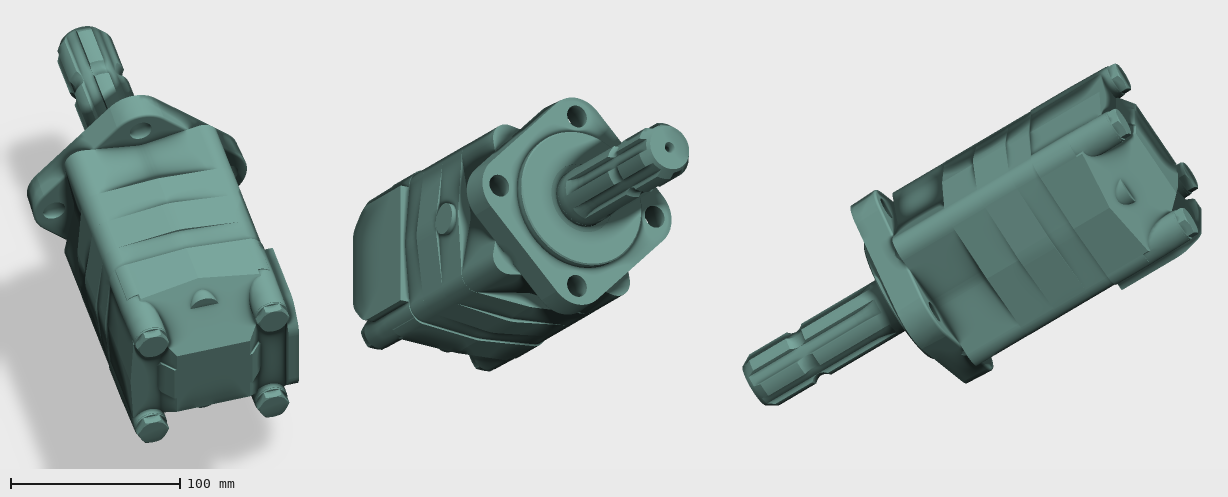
import cadquery as cq
import math


shaft_front = -108.0
seal_land_front = -8.0
pilot_front = -6.0
flange_widest = 16.5
flange_rear = 18.0
waist_rear = 54.4
housing_rear = 77.2
gear_set_rear = 99.4
plate_rear = 115.0
slope_start = 140.2
cover_side_rear = 163.6
boss_rear = 167.0
cover_rear = 172.7

shaft_radius = 34.85 / 2
seal_land_radius = 35.0 / 2
shaft_rear = 50.0
nose_length = 7.0
nose_drop = nose_length * math.tan(math.radians(30))
ring_groove_x = shaft_front + 38.0
ring_groove_radius = 6.8
ring_groove_floor = 29.7 / 2
spline_count = 6
spline_root_radius = 29.5 / 2
spline_tooth_width = 8.7
spline_full_end = -32.5
spline_runout_end = -16.5
centre_drill_diameter = 3.16
centre_drill_mouth = 6.7
centre_drill_depth = 7.0

flange_corner_reach = 131.3 / 2
flange_corner_radius = 20.5
flange_draft = 3.0
flange_rear_round = 1.4
flange_hole_offset = 53.2
flange_hole_diameter = 13.5
pilot_diameter = 82.5
pilot_chamfer = 0.8
seal_recess_diameter = 42.0
seal_recess_depth = 0.5

bolt_offset = 37.0
waist_corner_radius = 9.9
body_corner_radius = 10.0
waist_apex = 40.6
waist_valley_round = 17.0
rear_housing_apex = 49.5
gear_set_apex = 51.7
plate_apex = 50.3
gear_set_crown_round = 36.0
plate_crown_round = 52.0

cover_crown_z = 51.6
cover_crown_y = 48.4
cover_top_facet_end = (36.5, 48.3)
cover_shoulder_middle = (40.4, 47.6)
cover_shoulder_end = (43.7, 45.4)
cover_side_facet_end = (46.4, bolt_offset)
cover_corner_radius = 21.0 / 2
boss_end_radius = 20.0 / 2
cover_end_half = 24.0
slope_bump_diameter = 18.0
slope_bump_top = 47.0
slope_bump_rear = 153.2
end_step_depth = 1.6
end_rib_half_base = 12.2
end_rib_half_top = 9.2

pad_face_y = 53.1
pad_base_y = 46.6
pad_half_height = 36.0
pad_corner_radius = 12.5
pad_rounding_start = 153.2
pad_bevel_end = 167.2

bolt_diameter = 10.0
bolt_clearance_diameter = 10.5
bolt_thread_end = 30.0
bolt_tip_diameter = 8.38
tap_drill_bottom = 15.8
drill_point_angle = 118.0
washer_radius = 9.8
washer_rear = 168.1
bolt_head_rear = 173.2
bolt_head_flats = 16.9
bolt_head_chamfer = 0.8

plug_x = 65.9
plug_head_diameter = 18.63
plug_seat_y = 48.6
plug_top_y = 52.4
plug_stem_diameter = 10.2
plug_stem_end_y = 36.0


def cylinder_x(radius, start, end, y=0.0, z=0.0):
    """Round bar along X."""
    return cq.Workplane("YZ", origin=(start, y, z)).circle(radius).extrude(end - start)


def cone_x(radius_start, radius_end, start, end, y=0.0, z=0.0):
    """Cone frustum along X; either end may come to a point."""
    solid = cq.Solid.makeCone(
        radius_start, radius_end, end - start, cq.Vector(start, y, z), cq.Vector(1, 0, 0)
    )
    return cq.Workplane(obj=solid)


def bolt_places():
    return [(y, z) for y in (-bolt_offset, bolt_offset) for z in (-bolt_offset, bolt_offset)]


def turn(point, quarter_turns):
    """Turn a (y, z) point about X by a number of right angles."""
    y, z = point
    for _ in range(quarter_turns):
        y, z = -z, y
    return (y, z)


def crowned_prism(start, end, apex, apex_round, corner_radius):
    """Square prism with round corners whose sides rise (or sink) from the corners to `apex`."""
    reach = math.hypot(bolt_offset, bolt_offset - apex)
    slope = math.atan2(bolt_offset - apex, bolt_offset) + math.asin(corner_radius / reach)
    left_tangent = (
        -bolt_offset + corner_radius * math.sin(slope),
        bolt_offset + corner_radius * math.cos(slope),
    )
    corner_middle = bolt_offset + corner_radius / math.sqrt(2)
    right_tangent = (-left_tangent[0], left_tangent[1])
    outline = cq.Workplane("YZ", origin=(start, 0, 0)).moveTo(*right_tangent)
    for side in range(4):
        outline = outline.lineTo(*turn((0, apex), side))
        outline = outline.lineTo(*turn(left_tangent, side))
        outline = outline.threePointArc(
            turn((-corner_middle, corner_middle), side), turn(right_tangent, side + 1)
        )
    prism = outline.close().extrude(end - start)
    if apex_round:
        middle = (start + end) / 2
        for side in range(4):
            y, z = turn((0, apex), side)
            prism = prism.edges(cq.selectors.NearestToPointSelector((middle, y, z))).fillet(apex_round)
    return prism


def bolt_holes(start, end, diameter):
    holes = cq.Workplane("YZ", origin=(start, 0, 0)).pushPoints(bolt_places())
    return holes.circle(diameter / 2).extrude(end - start)


def spline_groove():
    """Gap between two teeth on the -Y side, with parallel tooth flanks and an arc run-out."""
    half_pitch = math.pi / spline_count
    outer = shaft_radius + 2.0

    def flank_point(radius, sign):
        angle = half_pitch - math.asin(spline_tooth_width / 2 / radius)
        return (-radius * math.cos(angle), sign * radius * math.sin(angle))

    gap = (
        cq.Workplane("YZ", origin=(shaft_front - 1, 0, 0))
        .moveTo(*flank_point(spline_root_radius - 1, 1))
        .lineTo(*flank_point(outer, 1))
        .lineTo(*flank_point(outer, -1))
        .lineTo(*flank_point(spline_root_radius - 1, -1))
        .close()
        .extrude(spline_runout_end - shaft_front + 1)
    )
    rise = shaft_radius - spline_root_radius
    run = spline_runout_end - spline_full_end
    runout_radius = (run**2 + rise**2) / (2 * rise)
    half_angle = math.asin(run / runout_radius) / 2
    arc_middle = (
        spline_full_end + runout_radius * math.sin(half_angle),
        spline_root_radius + runout_radius * (1 - math.cos(half_angle)),
    )
    root_core = (
        cq.Workplane("XY")
        .moveTo(shaft_front - 1, 0)
        .lineTo(shaft_front - 1, spline_root_radius)
        .lineTo(spline_full_end, spline_root_radius)
        .threePointArc(arc_middle, (spline_runout_end, shaft_radius))
        .lineTo(spline_runout_end, 0)
        .close()
        .revolve(360, (0, 0, 0), (1, 0, 0))
    )
    return gap.cut(root_core)


def make_shaft():
    half_chord = math.sqrt(
        ring_groove_radius**2 - (ring_groove_radius - shaft_radius + ring_groove_floor) ** 2
    )
    shaft = (
        cq.Workplane("XY")
        .moveTo(shaft_front, 0)
        .lineTo(shaft_front, shaft_radius - nose_drop)
        .lineTo(shaft_front + nose_length, shaft_radius)
        .lineTo(ring_groove_x - half_chord, shaft_radius)
        .threePointArc((ring_groove_x, ring_groove_floor), (ring_groove_x + half_chord, shaft_radius))
        .lineTo(seal_land_front, shaft_radius)
        .lineTo(seal_land_front, seal_land_radius)
        .lineTo(shaft_rear, seal_land_radius)
        .lineTo(shaft_rear, 0)
        .close()
        .revolve(360, (0, 0, 0), (1, 0, 0))
    )
    groove = spline_groove()
    for index in range(spline_count):
        angle = index * 360 / spline_count
        shaft = shaft.cut(groove.rotate((0, 0, 0), (1, 0, 0), angle))
    mouth_depth = (centre_drill_mouth - centre_drill_diameter) / 2 / math.tan(math.radians(30))
    mouth = cone_x(centre_drill_mouth / 2, centre_drill_diameter / 2, shaft_front, shaft_front + mouth_depth)
    drill = cylinder_x(centre_drill_diameter / 2, shaft_front, shaft_front + centre_drill_depth)
    return shaft.cut(mouth).cut(drill)


def make_flange():
    """Diamond flange, drafted so that it widens towards the rear, with a rounded rear edge."""
    corner_centre = flange_corner_reach - flange_corner_radius
    side = corner_centre * math.sqrt(2) + 2 * flange_corner_radius
    drafted = (
        cq.Workplane("YZ", origin=(flange_widest, 0, 0))
        .transformed(rotate=(0, 0, 45))
        .sketch()
        .rect(side, side)
        .vertices()
        .fillet(flange_corner_radius)
        .finalize()
        .extrude(-flange_widest, taper=flange_draft)
    )
    rim = (
        cq.Workplane("YZ", origin=(flange_widest, 0, 0))
        .transformed(rotate=(0, 0, 45))
        .rect(side, side)
        .extrude(flange_rear - flange_widest)
        .edges("|X")
        .fillet(flange_corner_radius)
        .faces(">X")
        .edges()
        .fillet(flange_rear_round)
    )
    hole_places = [turn((flange_hole_offset, 0), quarter) for quarter in range(4)]
    holes = (
        cq.Workplane("YZ").pushPoints(hole_places).circle(flange_hole_diameter / 2).extrude(flange_rear)
    )
    return drafted.union(rim).cut(holes)


def tap_drill(y, z):
    """Blind tapping hole for the bolt tip; it runs forward into the flange and ends in a drill point."""
    radius = bolt_tip_diameter / 2
    point_length = radius / math.tan(math.radians(drill_point_angle / 2))
    bore = cylinder_x(radius, tap_drill_bottom, bolt_thread_end, y, z)
    return bore.union(cone_x(0, radius, tap_drill_bottom - point_length, tap_drill_bottom, y, z))


def make_housing():
    pilot = cylinder_x(pilot_diameter / 2, pilot_front, 0).faces("<X").chamfer(pilot_chamfer)
    housing = (
        make_flange()
        .union(pilot)
        .union(crowned_prism(flange_rear, waist_rear, waist_apex, waist_valley_round, waist_corner_radius))
        .union(crowned_prism(waist_rear, housing_rear, rear_housing_apex, 0, body_corner_radius))
    )
    housing = housing.cut(cylinder_x(seal_recess_diameter / 2, pilot_front, pilot_front + seal_recess_depth))
    housing = housing.cut(cylinder_x(seal_land_radius, pilot_front, shaft_rear))
    housing = housing.cut(bolt_holes(bolt_thread_end, housing_rear, bolt_diameter))
    for y, z in bolt_places():
        housing = housing.cut(tap_drill(y, z))
    return housing.cut(make_drain_plug())


def make_drain_plug():
    seat = cq.Workplane("XZ", origin=(plug_x, plug_seat_y, 0))
    head = seat.circle(plug_head_diameter / 2).extrude(plug_seat_y - plug_top_y)
    stem = seat.circle(plug_stem_diameter / 2).extrude(plug_seat_y - plug_stem_end_y)
    return head.union(stem)


def make_gear_set():
    body = crowned_prism(housing_rear, gear_set_rear, gear_set_apex, gear_set_crown_round, body_corner_radius)
    return body.cut(bolt_holes(housing_rear, gear_set_rear, bolt_clearance_diameter))


def make_channel_plate():
    body = crowned_prism(gear_set_rear, plate_rear, plate_apex, plate_crown_round, body_corner_radius)
    return body.cut(bolt_holes(gear_set_rear, plate_rear, bolt_clearance_diameter))


def cover_section(start, end, shouldered):
    """Crowned block between the corners; with shoulders its top facets round off over the bosses."""
    quarter = (
        cq.Workplane("YZ", origin=(start, 0, 0))
        .lineTo(cover_crown_y, 0)
        .lineTo(*cover_side_facet_end)
    )
    if shouldered:
        quarter = quarter.lineTo(*cover_shoulder_end)
        quarter = quarter.threePointArc(cover_shoulder_middle, cover_top_facet_end)
    else:
        quarter = quarter.lineTo(*cover_top_facet_end)
    quarter = quarter.lineTo(0, cover_crown_z).close().extrude(end - start)
    upper_half = quarter.union(quarter.mirror("XZ"))
    return upper_half.union(upper_half.mirror("XY"))


def cover_core():
    """Block between the corners; its top and bottom slope down to the rear end."""
    front = cover_section(plate_rear, slope_start, True)
    rear = cover_section(slope_start, cover_side_rear, False)
    return front.union(rear).union(cover_end()).intersect(side_profile())


def side_profile():
    """Outline of the core across X and Z: straight, then tapered to the rear end."""
    reach = cover_crown_z
    upper = [(plate_rear, reach), (slope_start, reach), (cover_rear, cover_end_half)]
    lower = [(x, -z) for x, z in reversed(upper)]
    depth = 2 * cover_crown_y
    return cq.Workplane("XZ").polyline(upper + lower).close().extrude(depth, both=True)


def end_profile(inset):
    """Tail of the core across X and Y, tapered like the top, set in by `inset` at the sides."""
    taper = (cover_crown_z - cover_end_half) / (cover_rear - slope_start)
    rear_half = cover_end_half - inset
    front_half = rear_half + taper * (cover_rear - cover_side_rear)
    points = [
        (cover_side_rear, front_half),
        (cover_rear, rear_half),
        (cover_rear, -rear_half),
        (cover_side_rear, -front_half),
    ]
    return cq.Workplane("XY").polyline(points).close().extrude(cover_crown_z, both=True)


def cover_end():
    """Tail behind the side faces, with a bevelled rib across the middle of each side."""
    rib_reach = end_profile(0).val().BoundingBox().ymax
    rib_root = cover_end_half - end_step_depth
    half = [
        (rib_root, end_rib_half_base),
        (rib_reach - end_step_depth, end_rib_half_base),
        (rib_reach, end_rib_half_top),
    ]
    right = half + [(y, -z) for y, z in reversed(half)]
    left = [(-y, -z) for y, z in right]
    ribs = (
        cq.Workplane("YZ", origin=(cover_side_rear, 0, 0))
        .polyline(right + left)
        .close()
        .extrude(cover_rear - cover_side_rear)
    )
    return end_profile(end_step_depth).union(ribs.intersect(end_profile(0)))


def port_pad():
    """Flat pad for the ports, with two rounded and bevelled rear corners."""
    bevel_angle = math.radians(45)
    arc_run = pad_corner_radius * math.sin(bevel_angle)
    arc_drop = pad_corner_radius * (1 - math.cos(bevel_angle))
    middle_run = pad_corner_radius * math.sin(bevel_angle / 2)
    middle_drop = pad_corner_radius * (1 - math.cos(bevel_angle / 2))
    first_middle = (pad_rounding_start + middle_run, pad_half_height - middle_drop)
    first_end = (pad_rounding_start + arc_run, pad_half_height - arc_drop)
    bevel_end_z = first_end[1] - (pad_bevel_end - first_end[0])
    pad_rear = pad_bevel_end + arc_drop
    flat_end_z = bevel_end_z - arc_run
    second_middle = (pad_rear - middle_drop, flat_end_z + middle_run)
    upper_half = (
        cq.Workplane("XZ", origin=(0, pad_base_y, 0))
        .moveTo(plate_rear, 0)
        .lineTo(plate_rear, pad_half_height)
        .lineTo(pad_rounding_start, pad_half_height)
        .threePointArc(first_middle, first_end)
        .lineTo(pad_bevel_end, bevel_end_z)
        .threePointArc(second_middle, (pad_rear, flat_end_z))
        .lineTo(pad_rear, 0)
        .close()
        .extrude(pad_base_y - pad_face_y)
    )
    return upper_half.union(upper_half.mirror("XY"))


def make_cover():
    cover = cover_core().union(port_pad())
    for y, z in bolt_places():
        cover = cover.union(cylinder_x(cover_corner_radius, plate_rear, slope_start, y, z))
        boss = cone_x(cover_corner_radius, boss_end_radius, slope_start, boss_rear, y, z)
        cover = cover.union(boss)
    bump_radius = slope_bump_diameter / 2
    for side in (-1, 1):
        bump_z = side * (slope_bump_top - bump_radius)
        cover = cover.union(cylinder_x(bump_radius, slope_start, slope_bump_rear, 0, bump_z))
    return cover.cut(bolt_holes(plate_rear, boss_rear, bolt_clearance_diameter))


def make_bolt(y, z):
    """Hexagon bolt with a washer face; the corners of the head point along Y."""
    shank = cylinder_x(bolt_diameter / 2, bolt_thread_end, boss_rear, y, z)
    tip = cylinder_x(bolt_tip_diameter / 2, flange_rear, bolt_thread_end, y, z)
    washer = cylinder_x(washer_radius, boss_rear, washer_rear, y, z)
    head_corners = bolt_head_flats / math.cos(math.radians(30))
    head_length = bolt_head_rear - washer_rear
    head = cq.Workplane("YZ", origin=(washer_rear, y, z)).polygon(6, head_corners).extrude(head_length)
    crown = cylinder_x(head_corners / 2, washer_rear, bolt_head_rear, y, z)
    crown = crown.faces(">X").chamfer(bolt_head_chamfer, (head_corners - bolt_head_flats) / 2)
    return shank.union(tip).union(washer).union(head.intersect(crown))


shaft = make_shaft()
housing = make_housing()
drain_plug = make_drain_plug()
gear_set = make_gear_set()
channel_plate = make_channel_plate()
cover = make_cover()
bolts = [make_bolt(y, z) for y, z in bolt_places()]

result = cq.Compound.makeCompound(
    [shaft.val(), housing.val(), drain_plug.val(), gear_set.val(), channel_plate.val(), cover.val()]
    + [bolt.val() for bolt in bolts]
)